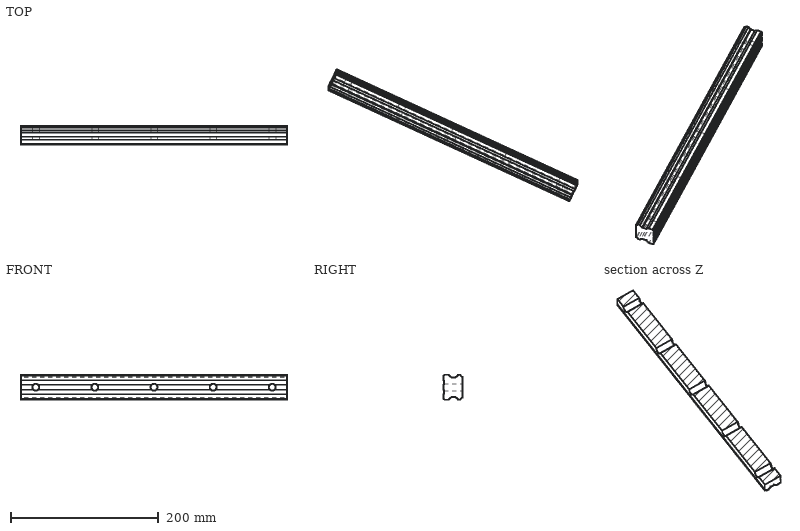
import cadquery as cq

length = 360.0
height = 26.0
width = 34.0
half_width = width / 2

hole_diameter = 9.0
hole_pitch = 80.0
first_hole_x = 20.0
hole_count = 5

foot_chamfer = 1.5
foot_flat_end_y = 7.0
flank_end_y = 10.2
flank_end_z = 14.0

waist_half_width = 13.4
waist_start_y = 10.9
waist_end_y = 16.1

lower_groove_start = (16.8, 14.4)
lower_groove_middle = (18.7, 15.1)
lower_groove_end = (19.7, 16.6)

head_start_y = 20.0
head_end_y = 23.0

upper_groove_middle = (24.0, 15.1)
upper_groove_end_y = 25.3
top_half_width = 14.2

relief_inner_z = 3.5
relief_outer_z = 9.45
relief_depth = 0.8


def rail_half():
    """Extrude the half of the rail section on the +Z side along the whole length."""
    return (
        cq.Workplane("YZ")
        .moveTo(0, 0)
        .lineTo(0, half_width - foot_chamfer)
        .lineTo(foot_chamfer, half_width)
        .lineTo(foot_flat_end_y, half_width)
        .lineTo(flank_end_y, flank_end_z)
        .lineTo(waist_start_y, waist_half_width)
        .lineTo(waist_end_y, waist_half_width)
        .lineTo(*lower_groove_start)
        .threePointArc(lower_groove_middle, lower_groove_end)
        .lineTo(head_start_y, half_width)
        .lineTo(head_end_y, half_width)
        .threePointArc(upper_groove_middle, (upper_groove_end_y, top_half_width))
        .lineTo(height, top_half_width)
        .lineTo(height, 0)
        .close()
        .extrude(length)
    )


def relief_groove(side):
    """Full-length groove in the underside, on the +Z (side=1) or -Z (side=-1) side."""
    relief_width = relief_outer_z - relief_inner_z
    relief_center_z = side * (relief_outer_z + relief_inner_z) / 2
    return (
        cq.Workplane("XY")
        .box(length, relief_depth, relief_width, centered=(False, False, True))
        .translate((0, 0, relief_center_z))
    )


def mounting_holes():
    """Row of cylinders that cut the mounting holes."""
    centers = [(first_hole_x + i * hole_pitch, 0) for i in range(hole_count)]
    return cq.Workplane("XZ").pushPoints(centers).circle(hole_diameter / 2).extrude(-height)


half = rail_half()
rail = half.union(half.mirror("XY"))
for side in (1, -1):
    rail = rail.cut(relief_groove(side))
result = rail.cut(mounting_holes())